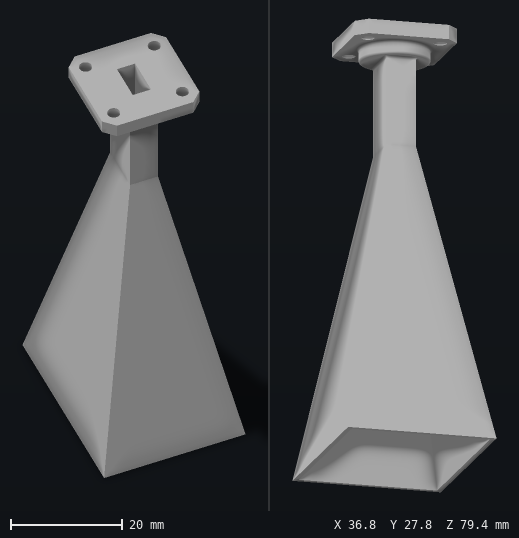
import cadquery as cq

total_height = 79.4
horn_height = 57.6

bore_x = 7.15
bore_y = 3.6
wall = 0.95
tube_x = bore_x + 2 * wall
tube_y = bore_y + 2 * wall
mouth_x = 36.8
mouth_y = 27.8

flange_side = 19.1
flange_thickness = 2.7
flange_corner = 2.1
hole_diameter = 2.4
hole_spacing_x = 12.7
hole_spacing_y = 13.5

collar_diameter = 13.0
collar_height = 2.5
collar_fillet = 0.5

flange_bottom = total_height - flange_thickness
collar_bottom = flange_bottom - collar_height


def frustum(bottom_z, bottom_x, bottom_y, top_z, top_x, top_y):
    """Rectangular frustum centred on the Z axis."""
    return (
        cq.Workplane("XY", origin=(0, 0, bottom_z))
        .rect(bottom_x, bottom_y)
        .workplane(offset=top_z - bottom_z)
        .rect(top_x, top_y)
        .loft(ruled=True)
    )


def block(bottom_z, top_z, size_x, size_y):
    """Upright rectangular block centred on the Z axis."""
    return cq.Workplane("XY", origin=(0, 0, bottom_z)).rect(size_x, size_y).extrude(top_z - bottom_z)


def make_flange():
    """Clipped square plate with its mounting holes."""
    plate = block(flange_bottom, total_height, flange_side, flange_side)
    plate = plate.edges("|Z").chamfer(flange_corner)
    holes = (
        cq.Workplane("XY", origin=(0, 0, flange_bottom))
        .rect(hole_spacing_x, hole_spacing_y, forConstruction=True)
        .vertices()
        .circle(hole_diameter / 2)
        .extrude(flange_thickness)
    )
    return plate.cut(holes)


def make_collar():
    """Disc under the flange with a rounded lower rim."""
    disc = cq.Workplane("XY", origin=(0, 0, collar_bottom)).circle(collar_diameter / 2).extrude(collar_height)
    return disc.faces("<Z").edges().fillet(collar_fillet)


def joint_edges(solid, joint_z, size_x, size_y):
    """Edges at one height that lie within a centred window."""
    margin = 0.1
    reach_x = size_x / 2 + margin
    reach_y = size_y / 2 + margin
    window = cq.selectors.BoxSelector(
        (-reach_x, -reach_y, joint_z - margin),
        (reach_x, reach_y, joint_z + margin),
        boundingbox=True,
    )
    return solid.edges(window)


horn = frustum(0, mouth_x, mouth_y, horn_height, tube_x, tube_y)
tube = block(horn_height, flange_bottom, tube_x, tube_y)
body = make_flange().union(make_collar()).union(tube)
body = joint_edges(body, flange_bottom, collar_diameter, collar_diameter).fillet(collar_fillet)
body = joint_edges(body, collar_bottom, tube_x, tube_y).fillet(collar_fillet)
body = body.union(horn)

flare = frustum(0, mouth_x - 2 * wall, mouth_y - 2 * wall, horn_height, bore_x, bore_y)
bore = block(horn_height, total_height, bore_x, bore_y)

result = body.cut(flare).cut(bore)